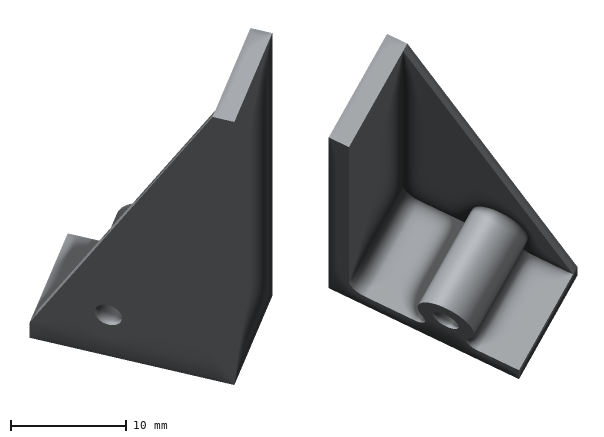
import cadquery as cq
import math

length = 18.65
width = 11.0
height = 33.78

plate = 2.0
rib_thickness = 0.8
wall_x = length - plate
wall_fillet = 1.55

barrel_x = 7.15
barrel_z = 5.27
barrel_radius = 2.77
bore_radius = 1.25
barrel_fillet = 1.0


def extrude_across(profile, depth):
    """Extrude an XZ profile from the front face toward +Y."""
    return profile.extrude(-depth)


def make_body():
    """Base, barrel and wall as one continuous profile."""
    fillet_z = plate + barrel_fillet
    centre_distance = barrel_radius + barrel_fillet
    tangent_angle = math.asin((barrel_z - fillet_z) / centre_distance)
    mid_angle = (tangent_angle - math.pi / 2) / 2
    fillet_offset = centre_distance * math.cos(tangent_angle)

    def fillet_point(side, angle):
        """Point on the left (-1) or right (+1) fillet; angle 0 faces the barrel."""
        from_axis = fillet_offset - barrel_fillet * math.cos(angle)
        return (barrel_x + side * from_axis, fillet_z + barrel_fillet * math.sin(angle))

    wall_fillet_inset = wall_fillet * (1 - math.sqrt(0.5))

    profile = (
        cq.Workplane("XZ")
        .moveTo(0, 0)
        .lineTo(0, plate)
        .lineTo(barrel_x - fillet_offset, plate)
        .threePointArc(fillet_point(-1, mid_angle), fillet_point(-1, tangent_angle))
        .threePointArc((barrel_x, barrel_z + barrel_radius), fillet_point(1, tangent_angle))
        .threePointArc(fillet_point(1, mid_angle), (barrel_x + fillet_offset, plate))
        .lineTo(wall_x - wall_fillet, plate)
        .threePointArc(
            (wall_x - wall_fillet_inset, plate + wall_fillet_inset),
            (wall_x, plate + wall_fillet),
        )
        .lineTo(wall_x, height)
        .lineTo(length, height)
        .lineTo(length, 0)
        .close()
    )
    return extrude_across(profile, width)


def make_rib():
    """Tapered side web from the free end of the base to the top of the wall."""
    profile = cq.Workplane("XZ").polyline(
        [(0, 0), (0, plate), (wall_x, height), (length, height), (length, 0)]
    ).close()
    return extrude_across(profile, rib_thickness)


def make_bore():
    """Through bore along the barrel axis."""
    profile = cq.Workplane("XZ").center(barrel_x, barrel_z).circle(bore_radius)
    return extrude_across(profile, width)


result = make_body().union(make_rib()).cut(make_bore())